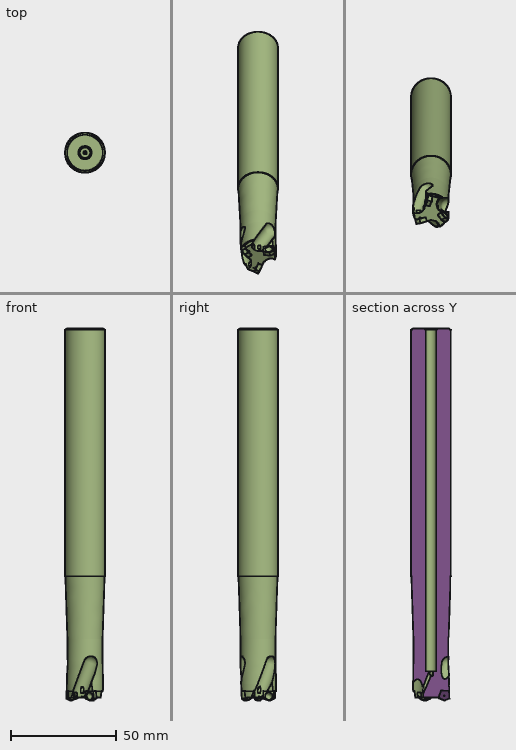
import cadquery as cq

total_length = 177.2
shank_radius = 9.5
shank_end_z = 59.2
shank_step = 0.2
top_chamfer_width = 1.0
top_chamfer_height = 0.7
neck_diameter = 16.8
neck_radius = neck_diameter / 2
neck_top_z = 29.5
neck_bottom_z = 19.3
head_radius = 8.7
head_cone_end_z = 8.0
collar_z = 4.6
nose_radius = 8.2
nose_z = 1.6

bore_radius = 2.5
bore_mouth_radius = 3.2
bore_mouth_depth = 0.7
bore_end_z = 14.2

branch_radius = 0.7
branch_exit = cq.Vector(1.0, -3.7, 4.6)
branch_overrun = 0.7

tooth_count = 3
first_tooth_angle = 82.5

flute_angle = -60.0
flute_radius = 3.4
flute_lean = 21.0
flute_deepening = 2.0
flute_end_z = 17.9
flute_end_offset = 3.9
flute_end_distance = 7.5
flute_length = 24.8
flute_depth = 10.6

rake_y = -3.4
rake_tilt = 8.0
insert_thickness = 2.1
insert_back_y = rake_y + insert_thickness
insert_inner_x = 3.0
insert_outer_x = 8.0
insert_corner_x = 8.2
insert_corner_z = 1.0
insert_tip_x = 6.0
insert_top_z = collar_z
screw_hole_radius = 1.0
screw_hole_length = 7.0
screw_head_radius = 1.8
screw_head_depth = 1.5
screw_x = 5.7
screw_z = 2.3

pocket_inner_x = 0.9
pocket_depth = 2.8
pocket_inner_top_z = 7.0
pocket_outer_top_z = 11.0
pocket_top_x = 5.5
pocket_reach = 10.6
pocket_bottom_z = -1.8


def turned_blank():
    profile = [
        (0, nose_z),
        (nose_radius, nose_z),
        (nose_radius, collar_z),
        (head_radius, collar_z),
        (head_radius, head_cone_end_z),
        (neck_radius, neck_bottom_z),
        (neck_radius, neck_top_z),
        (shank_radius - shank_step, shank_end_z),
        (shank_radius, shank_end_z + shank_step),
        (shank_radius, total_length - top_chamfer_height),
        (shank_radius - top_chamfer_width, total_length),
        (0, total_length),
    ]
    return cq.Workplane("XZ").polyline(profile).close().revolve(360, (0, 0), (0, 1))


def coolant_bore():
    profile = [
        (0, bore_end_z),
        (bore_radius, bore_end_z),
        (bore_radius, total_length - bore_mouth_depth),
        (bore_mouth_radius, total_length),
        (0, total_length),
    ]
    return cq.Workplane("XZ").polyline(profile).close().revolve(360, (0, 0), (0, 1))


def coolant_branch():
    start = cq.Vector(0, 0, bore_end_z)
    path = branch_exit - start
    length = path.Length + branch_overrun
    return cq.Workplane(cq.Solid.makeCylinder(branch_radius, length, start, path))


def flute_cutter():
    ball_end = cq.Workplane("XY").sphere(flute_radius)
    round_floor = cq.Workplane("XY").circle(flute_radius).extrude(-flute_length)
    side_walls = (
        cq.Workplane("YZ")
        .center(0, -flute_length / 2)
        .slot2D(flute_length + 2 * flute_radius, 2 * flute_radius, 90)
        .extrude(flute_depth)
    )
    groove = side_walls.union(round_floor).union(ball_end)
    return (
        groove.rotate((0, 0, 0), (0, 1, 0), flute_deepening)
        .rotate((0, 0, 0), (1, 0, 0), -flute_lean)
        .translate((flute_end_distance, flute_end_offset, flute_end_z))
        .rotate((0, 0, 0), (0, 0, 1), flute_angle)
    )


def pocket_cutter():
    outline = [
        (pocket_inner_x, pocket_bottom_z),
        (pocket_reach, pocket_bottom_z),
        (pocket_reach, pocket_outer_top_z),
        (pocket_top_x, pocket_outer_top_z),
        (pocket_inner_x, pocket_inner_top_z),
    ]
    return (
        cq.Workplane("XZ", origin=(0, rake_y, 0)).polyline(outline).close().extrude(pocket_depth)
    )


def insert_blank():
    outline = [
        (insert_inner_x, insert_corner_z),
        (insert_tip_x, 0),
        (insert_corner_x, insert_corner_z),
        (insert_outer_x, insert_top_z),
        (insert_inner_x, insert_top_z),
    ]
    return (
        cq.Workplane("XZ", origin=(0, insert_back_y, 0))
        .polyline(outline)
        .close()
        .extrude(insert_thickness)
    )


def screw_hole():
    return (
        cq.Workplane("XZ", origin=(screw_x, insert_back_y, screw_z))
        .circle(screw_hole_radius)
        .extrude(-screw_hole_length)
    )


def screw_head_seat():
    half_cone = [(0, 0), (screw_head_radius, 0), (0, screw_head_depth)]
    return (
        cq.Workplane("XY", origin=(screw_x, rake_y, screw_z))
        .polyline(half_cone)
        .close()
        .revolve(360, (0, 0), (0, 1))
    )


def tilted(shape):
    return shape.rotate((0, rake_y, 0), (1, rake_y, 0), rake_tilt)


def make_insert():
    return tilted(insert_blank().cut(screw_head_seat()))


def at_tooth(shape, index):
    return shape.rotate((0, 0, 0), (0, 0, 1), first_tooth_angle + index * 360 / tooth_count)


def make_body():
    body = turned_blank().cut(coolant_bore())
    cutters = [
        flute_cutter(),
        coolant_branch(),
        tilted(pocket_cutter()),
        tilted(insert_blank()),
        tilted(screw_hole()),
    ]
    for index in range(tooth_count):
        for cutter in cutters:
            body = body.cut(at_tooth(cutter, index))
    return body


body = make_body()
inserts = [at_tooth(make_insert(), index) for index in range(tooth_count)]

result = cq.Compound.makeCompound([body.val()] + [insert.val() for insert in inserts])